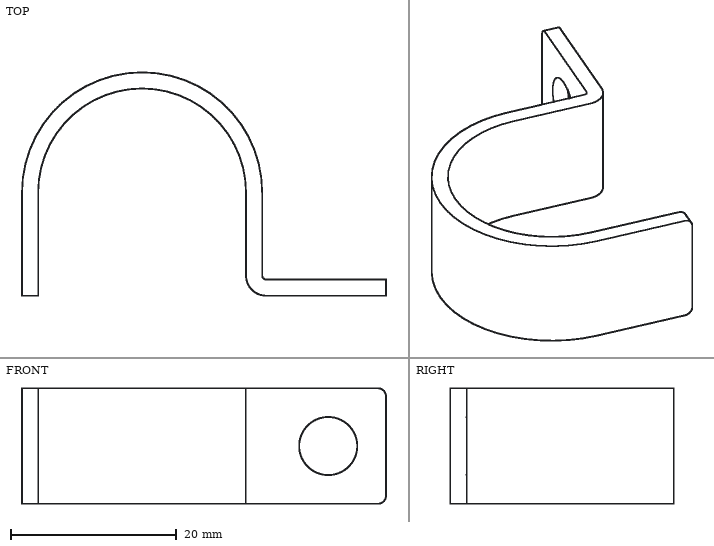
import cadquery as cq

length = 44.0
depth = 27.0
width = 14.0
thickness = 2.0

loop_radius = 14.5
bend_inner_radius = 0.5
corner_radius = 1.0
hole_diameter = 7.0
hole_to_flange_end = 7.0

loop_inner_radius = loop_radius - thickness
bend_outer_radius = bend_inner_radius + thickness
base_y = loop_radius - depth
flange_top_y = base_y + thickness
flange_end_x = length - loop_radius
bend_x = loop_inner_radius + bend_outer_radius
bend_y = base_y + bend_outer_radius


def bend_midpoint(radius):
    """Middle of a bend arc, on the diagonal towards the outer corner."""
    offset = radius / 2**0.5
    return (bend_x - offset, bend_y - offset)


def make_strip():
    """Bent strip: free leg, half-round loop, second leg and flange."""
    return (
        cq.Workplane("XY")
        .moveTo(-loop_radius, base_y)
        .lineTo(-loop_radius, 0)
        .threePointArc((0, loop_radius), (loop_radius, 0))
        .lineTo(loop_radius, bend_y)
        .threePointArc(bend_midpoint(bend_inner_radius), (bend_x, flange_top_y))
        .lineTo(flange_end_x, flange_top_y)
        .lineTo(flange_end_x, base_y)
        .lineTo(bend_x, base_y)
        .threePointArc(bend_midpoint(bend_outer_radius), (loop_inner_radius, bend_y))
        .lineTo(loop_inner_radius, 0)
        .threePointArc((0, loop_inner_radius), (-loop_inner_radius, 0))
        .lineTo(-loop_inner_radius, base_y)
        .close()
        .extrude(width / 2, both=True)
    )


def make_hole():
    """Cutter for the screw hole through the flange."""
    return (
        cq.Workplane("XZ", origin=(flange_end_x - hole_to_flange_end, flange_top_y, 0))
        .circle(hole_diameter / 2)
        .extrude(thickness)
    )


strip = make_strip()

strip = strip.faces(">X").edges("|Y").fillet(corner_radius)
free_leg_end = cq.selectors.NearestToPointSelector((-loop_radius, base_y, 0))
strip = strip.faces("<Y").faces(free_leg_end).edges("|X").edges("<Y").fillet(corner_radius)

result = strip.cut(make_hole())